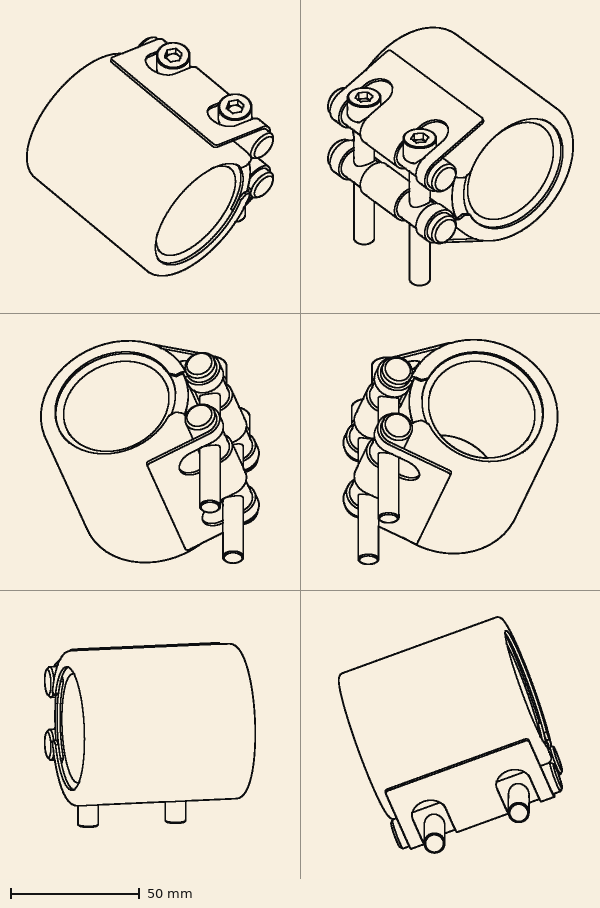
import math

import cadquery as cq


sheet = 1.2
housing_radius = 30.2
housing_half_length = 33.7
housing_edge_radius = 2.0
lip_radius = 24.0
lip_corner_chamfer = 2.1

strip_radius = housing_radius - sheet
strip_half_length = housing_half_length - sheet
strip_edge_radius = 1.8
strip_lip_radius = 24.1
strip_half_angle = 39.0
sleeve_radius = strip_radius
sleeve_half_length = strip_half_length - sheet
bore_radius = 21.2

pin_radius = 6.0
pin_chamfer = 1.0
pin_half_length = housing_half_length
pin_y = 34.02
pin_distance = housing_radius + pin_radius
pin_z = math.sqrt(pin_distance**2 - pin_y**2)
split_half_angle = math.degrees(math.atan2(pin_z, pin_y))

hook_half_width = 29.8
hook_corner_radius = 1.3
flap_setback = 0.2
hook_outer_radius = pin_radius + sheet
tangent_angle = split_half_angle + math.degrees(
    math.acos((housing_radius - pin_radius) / pin_distance)
)
flap_length = math.sqrt(pin_distance**2 - (housing_radius - pin_radius) ** 2) - flap_setback
slot_width = 13.5
slot_centre_along_flap = 9.2

screw_offset = 17.5
shank_diameter = 8.0
head_diameter = 13.0
head_top = 23.0
head_height = 8.0
head_chamfer = 0.4
screw_bottom = -45.0
tip_chamfer = 0.5
socket_across_flats = 6.0
socket_depth = 3.0
socket_cone_depth = 1.7


def polar(radius, angle, centre=(0.0, 0.0)):
    """Point at a radius and an angle in degrees around a centre."""
    a = math.radians(angle)
    return (centre[0] + radius * math.cos(a), centre[1] + radius * math.sin(a))


def lipped_tube(radius, inner_radius, half_length, edge_radius, start_angle, sweep):
    """Sheet tube along X with a lip at each end, swept from start_angle off +Y."""
    tube = (
        cq.Workplane("XY")
        .moveTo(-half_length, inner_radius)
        .lineTo(-half_length, radius - edge_radius)
        .radiusArc((-half_length + edge_radius, radius), edge_radius)
        .lineTo(half_length - edge_radius, radius)
        .radiusArc((half_length, radius - edge_radius), edge_radius)
        .lineTo(half_length, inner_radius)
        .lineTo(half_length - sheet, inner_radius)
        .lineTo(half_length - sheet, radius - sheet)
        .lineTo(-half_length + sheet, radius - sheet)
        .lineTo(-half_length + sheet, inner_radius)
        .close()
        .revolve(sweep, (0, 0, 0), (1, 0, 0))
    )
    return tube.rotate((0, 0, 0), (1, 0, 0), start_angle)


def make_housing():
    sweep = 360 - 2 * split_half_angle
    housing = lipped_tube(
        housing_radius, lip_radius, housing_half_length, housing_edge_radius, split_half_angle, sweep
    )
    corner_y, corner_z = polar(lip_radius, split_half_angle)
    near = 0.1
    corners = cq.selectors.BoxSelector(
        (-housing_half_length, corner_y - near, -corner_z - near),
        (housing_half_length, corner_y + near, corner_z + near),
    )
    return housing.edges("|X").edges(corners).chamfer(lip_corner_chamfer)


def make_strip():
    return lipped_tube(
        strip_radius,
        strip_lip_radius,
        strip_half_length,
        strip_edge_radius,
        -strip_half_angle,
        2 * strip_half_angle,
    )


def make_sleeve():
    return (
        cq.Workplane("YZ", origin=(-sleeve_half_length, 0, 0))
        .circle(sleeve_radius)
        .circle(bore_radius)
        .extrude(2 * sleeve_half_length)
    )


def make_hook():
    """Upper hook with its flap, slotted for the screw heads."""
    pin = (pin_y, pin_z)
    root_angle = split_half_angle - 180
    middle_angle = (tangent_angle + root_angle) / 2
    flap_y, flap_z = polar(flap_length, tangent_angle + 90)

    inner_top = polar(pin_radius, tangent_angle, pin)
    outer_top = polar(hook_outer_radius, tangent_angle, pin)
    hook = (
        cq.Workplane("YZ", origin=(-hook_half_width, 0, 0))
        .moveTo(*outer_top)
        .threePointArc(
            polar(hook_outer_radius, middle_angle, pin), polar(hook_outer_radius, root_angle, pin)
        )
        .lineTo(*polar(pin_radius, root_angle, pin))
        .threePointArc(polar(pin_radius, middle_angle, pin), inner_top)
        .lineTo(inner_top[0] + flap_y, inner_top[1] + flap_z)
        .lineTo(outer_top[0] + flap_y, outer_top[1] + flap_z)
        .close()
        .extrude(2 * hook_half_width)
    )
    normal_y, normal_z = polar(1, tangent_angle)
    across_sheet = cq.selectors.ParallelDirSelector(cq.Vector(0, normal_y, normal_z))
    hook = hook.edges(across_sheet).edges("<Y").fillet(hook_corner_radius)

    flap_plane = cq.Plane(origin=(0, *outer_top), xDir=(1, 0, 0), normal=(0, normal_y, normal_z))
    slot_radius = slot_width / 2
    behind = 2 * hook_outer_radius
    for x in (-screw_offset, screw_offset):
        slot = (
            cq.Workplane(flap_plane)
            .moveTo(x - slot_radius, behind)
            .lineTo(x - slot_radius, -slot_centre_along_flap)
            .threePointArc(
                (x, -slot_centre_along_flap - slot_radius), (x + slot_radius, -slot_centre_along_flap)
            )
            .lineTo(x + slot_radius, behind)
            .close()
            .extrude(2 * hook_outer_radius, both=True)
        )
        hook = hook.cut(slot)
    return hook


def make_pin():
    return (
        cq.Workplane("YZ", origin=(-pin_half_length, pin_y, pin_z))
        .circle(pin_radius)
        .extrude(2 * pin_half_length)
        .faces("<X or >X")
        .chamfer(pin_chamfer)
    )


def make_screw(x):
    """Screw without its socket, and the socket as a separate tool to cut."""
    shank = (
        cq.Workplane("XY", origin=(x, pin_y, screw_bottom))
        .circle(shank_diameter / 2)
        .extrude(head_top - head_height - screw_bottom)
        .faces("<Z")
        .chamfer(tip_chamfer)
    )
    head = (
        cq.Workplane("XY", origin=(x, pin_y, head_top - head_height))
        .circle(head_diameter / 2)
        .extrude(head_height)
        .faces(">Z")
        .chamfer(head_chamfer)
    )
    socket_corners = socket_across_flats / math.cos(math.radians(30))
    socket = (
        cq.Workplane("XY", origin=(x, pin_y, head_top))
        .polygon(6, socket_corners)
        .extrude(-socket_depth)
    )
    socket_tip = cq.Workplane(
        cq.Solid.makeCone(
            socket_across_flats / 2,
            0,
            socket_cone_depth,
            pnt=cq.Vector(x, pin_y, head_top - socket_depth),
            dir=cq.Vector(0, 0, -1),
        )
    )
    return head.union(shank), socket.union(socket_tip)


result = make_housing().union(make_strip()).union(make_sleeve())

hook = make_hook()
pin = make_pin()
for clamp_part in (hook, pin):
    result = result.union(clamp_part).union(clamp_part.mirror("XY"))

for x in (-screw_offset, screw_offset):
    screw, socket = make_screw(x)
    result = result.union(screw).cut(socket)